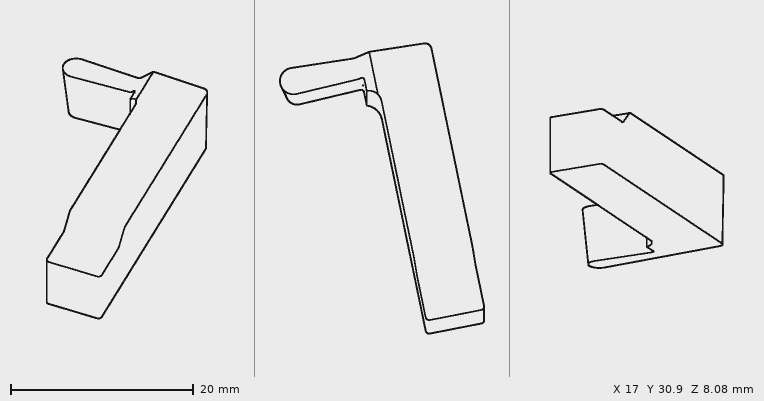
import cadquery as cq
import math

shank_width = 6.55
full_height = 8.08
end_corner_radius = 0.4
back_corner_radius = 0.75

overall_width = 17.0
overall_length = 30.9
blade_height = 6.4
nose_radius = 1.5
taper = math.radians(2.4)
flank_draft = math.tan(math.radians(2.5))
nose_relief = math.tan(math.radians(6.0))
nose_tip_x = shank_width - overall_width
nose_center_y = overall_length - nose_radius

step_x = -1.32
cove_radius = 1.9
cove_start_y = 24.78
root_fillet_radius = 0.3

slope = math.radians(45)
ramp_top_x = -0.24
ramp_fillet_radius = 0.45
end_ramp_top_y = 6.76
end_ramp_foot_radius = 0.5
end_ramp_crest_radius = 0.4

height_drop = full_height - blade_height
ramp_run = height_drop / math.tan(slope)


def plan_outline(z):
    """Horizontal section of the drafted body at height z, with the shank's outer corners still sharp."""
    below_top = blade_height - z
    radius = nose_radius - below_top * flank_draft
    tip_x = nose_tip_x + below_top * nose_relief
    center_x = tip_x + radius
    tangent_x = center_x + radius * math.sin(taper)
    tangent_rise = radius * math.cos(taper)
    back_y = nose_center_y + tangent_rise
    front_y = nose_center_y - tangent_rise

    back_corner_y = back_y - (shank_width - tangent_x) * math.tan(taper)
    root_y = front_y + (step_x - tangent_x) * math.tan(taper)

    root_reach = root_fillet_radius / math.tan(math.radians(45) - taper / 2)
    root_start = (step_x - root_reach * math.cos(taper), root_y - root_reach * math.sin(taper))
    root_end = (step_x, root_y - root_reach)
    root_mid_angle = math.radians(45) + taper / 2
    root_mid = (
        step_x - root_fillet_radius * (1 - math.cos(root_mid_angle)),
        root_end[1] + root_fillet_radius * math.sin(root_mid_angle),
    )

    cove_end_angle = math.acos(1 + step_x / cove_radius)
    cove_end_y = cove_start_y + cove_radius * math.sin(cove_end_angle)
    cove_mid = (
        cove_radius * (math.cos(cove_end_angle / 2) - 1),
        cove_start_y + cove_radius * math.sin(cove_end_angle / 2),
    )

    sketch = (
        cq.Workplane("XY", origin=(0, 0, z))
        .moveTo(0, 0)
        .lineTo(shank_width, 0)
        .lineTo(shank_width, back_corner_y)
        .lineTo(tangent_x, back_y)
        .threePointArc((tip_x, nose_center_y), (tangent_x, front_y))
        .lineTo(*root_start)
        .threePointArc(root_mid, root_end)
        .lineTo(step_x, cove_end_y)
        .threePointArc(cove_mid, (0, cove_start_y))
        .close()
    )
    return sketch.val()


def edge_near(x, y):
    """Selector for the upright edge passing closest to (x, y) at mid height."""
    return cq.selectors.NearestToPointSelector((x, y, full_height / 2))


def make_body():
    """Full-height drafted body with the outer corners of the shank rounded."""
    bottom = plan_outline(0)
    top = plan_outline(full_height)
    body = cq.Workplane(cq.Solid.makeLoft([bottom, top], True))
    for x in (0, shank_width):
        body = body.edges(edge_near(x, 0)).fillet(end_corner_radius)
    return body.edges(edge_near(shank_width, overall_length)).fillet(back_corner_radius)


def ramp_cutter(plane, start, ramp_top, depth, foot_radius):
    """Block lying above the blade-height level, bounded by the ramp, with its lower edge rounded."""
    block = (
        cq.Workplane(plane)
        .moveTo(start, blade_height)
        .lineTo(ramp_top - ramp_run, blade_height)
        .lineTo(ramp_top, full_height)
        .lineTo(start, full_height)
        .close()
        .extrude(depth)
    )
    foot = cq.selectors.NearestToPointSelector(
        block.plane.toWorldCoords((ramp_top - ramp_run, blade_height, depth / 2))
    )
    return block.edges(foot).fillet(foot_radius)


def cut_blade_ramp(body):
    """Lower the blade to its own height, leaving a ramp up to the shank."""
    start = nose_tip_x - nose_radius
    depth = -(overall_length + nose_radius)
    return body.cut(ramp_cutter("XZ", start, ramp_top_x, depth, ramp_fillet_radius))


def cut_end_ramp(body):
    """Lower the free end of the shank, with a ramp rounded at foot and crest."""
    notched = body.cut(ramp_cutter("YZ", 0, end_ramp_top_y, shank_width, end_ramp_foot_radius))
    crest = cq.selectors.NearestToPointSelector((shank_width / 2, end_ramp_top_y, full_height))
    return notched.edges(crest).fillet(end_ramp_crest_radius)


result = cut_end_ramp(cut_blade_ramp(make_body()))